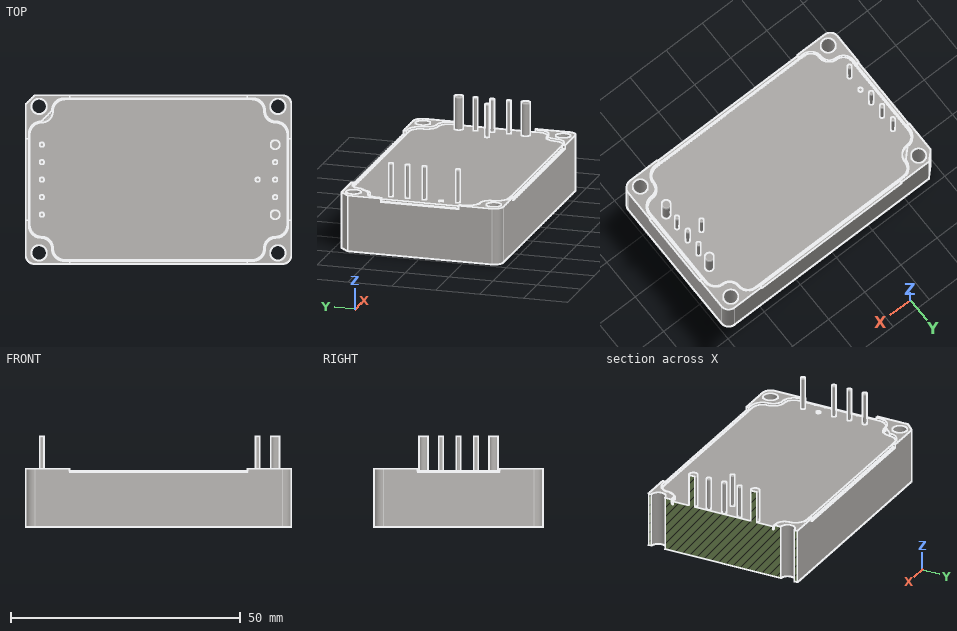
import cadquery as cq
import math

case_length = 57.9
case_width = 36.81
case_height = 12.75
corner_radius = 2.0
key_chamfer = 2.0

hole_diameter = 3.3
hole_x = 26.0
hole_y = 15.95

rim_width = 0.65
boss_size = 5.7
lobe_radius = 2.8
boss_radius = boss_size - rim_width - lobe_radius
pocket_depth = 1.2
pocket_floor = case_height - pocket_depth
floor_fillet = 0.4
cover_gap = 0.3
cover_drop = 0.4
cover_height = case_height - cover_drop
cover_root = 0.4
cover_base = pocket_floor - cover_root

relief_length_x = 38.75
relief_length_y = 17.75
relief_depth = 0.8
relief_floor = case_height - relief_depth

pin_pitch = 3.81
pin_length = 7.5
pin_row_x = 25.4
signal_pin_diameter = 1.0
power_pin_diameter = 2.0
empty_position = -1
socket_depth = 0.2
tip_fillet = 0.1


def block(length, width, bottom, top):
    return (
        cq.Workplane("XY")
        .workplane(offset=bottom)
        .rect(length, width)
        .extrude(top - bottom)
    )


def pocket_outline(inset, base, keyed):
    """Rounded outline that steps round the four corner bosses, moved inward from the pocket wall.

    The arcs of each corner meet tangentially. A keyed outline has a 45 degree flat
    in place of the boss arc at the chamfered corner of the case.
    """
    half_x = case_length / 2 - rim_width - inset
    half_y = case_width / 2 - rim_width - inset
    boss_x = case_length / 2 - boss_size - inset
    boss_y = case_width / 2 - boss_size - inset
    lobe_r = lobe_radius - inset
    boss_r = boss_radius + inset
    lobe_mid = lobe_r * (1 - math.sqrt(0.5))
    boss_mid = boss_r * (1 - math.sqrt(0.5))

    outline = cq.Workplane("XY").workplane(offset=base).moveTo(boss_x - lobe_r, half_y)
    for sign_x, sign_y in ((1, 1), (1, -1), (-1, -1), (-1, 1)):
        path = [
            (boss_x - lobe_r, half_y),
            (boss_x - lobe_mid, half_y - lobe_mid),
            (boss_x, boss_y + boss_r),
            (boss_x + boss_mid, boss_y + boss_mid),
            (boss_x + boss_r, boss_y),
            (half_x - lobe_mid, boss_y - lobe_mid),
            (half_x, boss_y - lobe_r),
        ]
        path = [(sign_x * x, sign_y * y) for x, y in path]
        if sign_x != sign_y:
            path.reverse()
        if (sign_x, sign_y) != (1, 1):
            outline = outline.lineTo(*path[0])
        outline = outline.threePointArc(path[1], path[2])
        if keyed and (sign_x, sign_y) == (-1, 1):
            outline = outline.lineTo(*path[4])
        else:
            outline = outline.threePointArc(path[3], path[4])
        outline = outline.threePointArc(path[5], path[6])
    return outline.close()


def make_case():
    """Block with one chamfered key corner and three rounded corners, drilled for mounting."""
    case = block(case_length, case_width, 0, case_height)
    case = case.edges("|Z and (>X or <Y)").fillet(corner_radius)
    case = case.edges("|Z and <X and >Y").chamfer(key_chamfer)
    return (
        case.faces(">Z")
        .workplane(origin=(0, 0, case_height))
        .rect(2 * hole_x, 2 * hole_y, forConstruction=True)
        .vertices()
        .hole(hole_diameter)
    )


def cut_pocket(case):
    """Keyed pocket with a fillet round its floor."""
    pocket = pocket_outline(0, pocket_floor, True).extrude(pocket_depth)
    return case.cut(pocket.faces("<Z").edges().fillet(floor_fillet))


def cut_reliefs(case):
    """Lower the rim in the middle of each side."""
    return (
        case.cut(block(relief_length_x, case_width, relief_floor, case_height))
        .cut(block(case_length, relief_length_y, relief_floor, case_height))
    )


def make_cover():
    """Plug rooted below the pocket floor; it keeps the boss arc at the keyed corner."""
    return pocket_outline(cover_gap, cover_base, False).extrude(cover_height - cover_base)


def pin(x, y, diameter):
    """Pin standing on the cover, rooted in it down to the pocket floor."""
    return (
        cq.Workplane("XY")
        .workplane(offset=pocket_floor)
        .center(x, y)
        .circle(diameter / 2)
        .extrude(cover_height + pin_length - pocket_floor)
        .faces(">Z")
        .edges()
        .fillet(tip_fillet)
    )


def add_pins(body):
    """Two rows of five pins, one inner pin, and one empty socket in the left row."""
    for place in range(-2, 3):
        y = place * pin_pitch
        if place != empty_position:
            body = body.union(pin(-pin_row_x, y, signal_pin_diameter))
        right_diameter = power_pin_diameter if abs(place) == 2 else signal_pin_diameter
        body = body.union(pin(pin_row_x, y, right_diameter))
    return body.union(pin(pin_row_x - pin_pitch, 0, signal_pin_diameter))


def empty_socket():
    return (
        cq.Workplane("XY")
        .workplane(offset=cover_height)
        .center(-pin_row_x, empty_position * pin_pitch)
        .circle(signal_pin_diameter / 2)
        .extrude(-socket_depth)
    )


body = cut_reliefs(cut_pocket(make_case())).union(make_cover())
result = add_pins(body).cut(empty_socket())